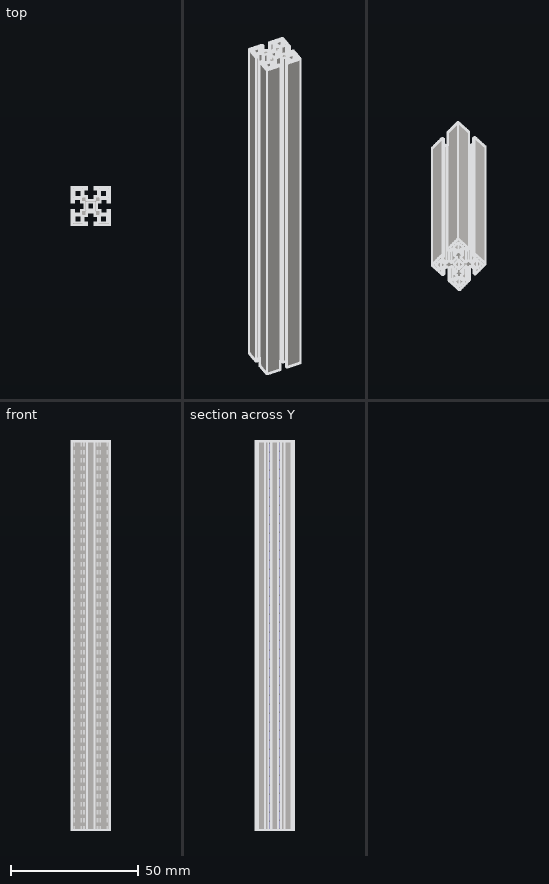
import cadquery as cq

side = 15.0
length = 153.0

slot_opening = 3.0
lip_thickness = 1.0
slot_inner_width = 5.7
shoulder_depth = 3.6
slot_depth = 5.0

centre_hole = 2.7
outer_wall = 1.1
slot_wall = 0.8

half_side = side / 2


def slot_cutter():
    """T-slot profile open to the +Y side, extruded over the full length."""
    inner_depth = shoulder_depth - lip_thickness
    narrow = (
        cq.Workplane("XY")
        .center(0, half_side - slot_depth / 2)
        .rect(slot_opening, slot_depth)
        .extrude(length)
    )
    wide = (
        cq.Workplane("XY")
        .center(0, half_side - lip_thickness - inner_depth / 2)
        .rect(slot_inner_width, inner_depth)
        .extrude(length)
    )
    return narrow.union(wide)


def corner_holes():
    """Square holes between the outer walls and the slot walls."""
    inner_edge = slot_inner_width / 2 + slot_wall
    outer_edge = half_side - outer_wall
    hole_size = outer_edge - inner_edge
    spacing = outer_edge + inner_edge
    return (
        cq.Workplane("XY")
        .rect(spacing, spacing, forConstruction=True)
        .vertices()
        .rect(hole_size, hole_size)
        .extrude(length)
    )


bar = cq.Workplane("XY").rect(side, side).extrude(length)

slot = slot_cutter()
for quarter in range(4):
    bar = bar.cut(slot.rotate((0, 0, 0), (0, 0, 1), 90 * quarter))

bar = bar.cut(corner_holes())
bar = bar.cut(cq.Workplane("XY").rect(centre_hole, centre_hole).extrude(length))

result = bar